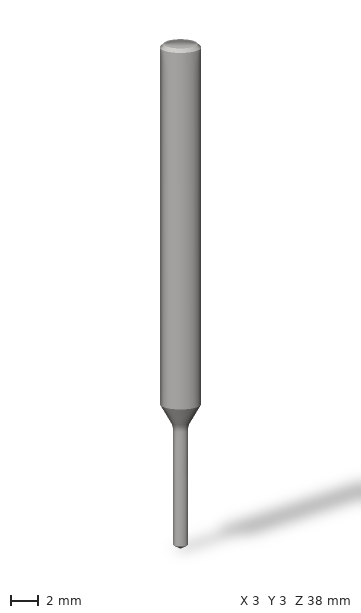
import cadquery as cq
import math

total_length = 38.0
shank_radius = 3.0 / 2
drill_radius = 1.1 / 2

cutter_top = 5.65
taper_top = 10.9

end_chamfer = 0.25
point_angle = 120.0
taper_half_angle = 30.0
blend_radius = 1.0

point_height = drill_radius / math.tan(math.radians(point_angle / 2))


def make_cutter():
    """Cylindrical cutting body with a conical point."""
    return (
        cq.Workplane("XZ")
        .moveTo(0, 0)
        .lineTo(drill_radius, point_height)
        .lineTo(drill_radius, cutter_top)
        .lineTo(0, cutter_top)
        .close()
        .revolve(360, (0, 0, 0), (0, 1, 0))
    )


def make_shank():
    """Neck, concave blend, taper and chamfered clamping shank."""
    taper = math.radians(taper_half_angle)

    def blend_point(angle):
        """Radial and axial offset from the start of the blend after turning by the angle."""
        return blend_radius * (1 - math.cos(angle)), blend_radius * math.sin(angle)

    blend_width, blend_height = blend_point(taper)
    mid_width, mid_height = blend_point(taper / 2)

    taper_bottom_radius = drill_radius + blend_width
    taper_bottom = taper_top - (shank_radius - taper_bottom_radius) / math.tan(taper)
    neck_top = taper_bottom - blend_height

    return (
        cq.Workplane("XZ")
        .moveTo(0, cutter_top)
        .lineTo(drill_radius, cutter_top)
        .lineTo(drill_radius, neck_top)
        .threePointArc(
            (drill_radius + mid_width, neck_top + mid_height),
            (taper_bottom_radius, taper_bottom),
        )
        .lineTo(shank_radius, taper_top)
        .lineTo(shank_radius, total_length - end_chamfer)
        .lineTo(shank_radius - end_chamfer, total_length)
        .lineTo(0, total_length)
        .close()
        .revolve(360, (0, 0, 0), (0, 1, 0))
    )


cutter = make_cutter()
shank = make_shank()

result = cq.Compound.makeCompound([cutter.val(), shank.val()])